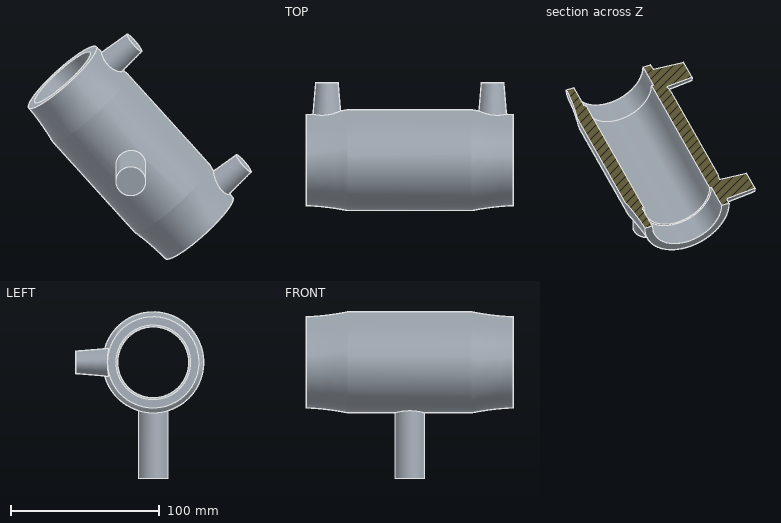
import cadquery as cq
import math

sleeve_length = 139.0
sleeve_diameter = 68.0
end_diameter = 61.3
end_length = 27.8
neck_sagitta = 0.5

bore_diameter = 47.5
socket_diameter = 50.0
socket_depth = 18.1

stem_diameter = 20.0
overall_height = 112.0

overall_width = 86.0
terminal_offset = 55.6
terminal_root_diameter = 18.9
terminal_tip_diameter = 15.3

sleeve_radius = sleeve_diameter / 2
end_radius = end_diameter / 2
half_length = sleeve_length / 2
shoulder_x = half_length - end_length
stem_bottom_z = sleeve_radius - overall_height
terminal_tip_y = overall_width - sleeve_radius
terminal_root_y = end_radius


def neck_midpoint():
    """Middle of the concave neck arc, set inward from the middle of its chord."""
    chord_x = half_length - end_length / 2
    chord_radius = (sleeve_radius + end_radius) / 2
    slope_angle = math.atan2(sleeve_radius - end_radius, end_length)
    x = chord_x - neck_sagitta * math.sin(slope_angle)
    radius = chord_radius - neck_sagitta * math.cos(slope_angle)
    return x, radius


def make_sleeve():
    """Solid of revolution: a cylinder with a concave neck at each end."""
    mid_x, mid_radius = neck_midpoint()
    return (
        cq.Workplane("XY")
        .moveTo(-half_length, 0)
        .lineTo(-half_length, end_radius)
        .threePointArc((-mid_x, mid_radius), (-shoulder_x, sleeve_radius))
        .lineTo(shoulder_x, sleeve_radius)
        .threePointArc((mid_x, mid_radius), (half_length, end_radius))
        .lineTo(half_length, 0)
        .close()
        .revolve(360, (0, 0, 0), (1, 0, 0))
    )


def make_bore():
    """Through bore with the two end sockets."""
    bore = cq.Workplane("YZ").circle(bore_diameter / 2).extrude(half_length, both=True)
    for socket_start in (-half_length, half_length - socket_depth):
        socket = (
            cq.Workplane("YZ")
            .workplane(offset=socket_start)
            .circle(socket_diameter / 2)
            .extrude(socket_depth)
        )
        bore = bore.union(socket)
    return bore


def make_stem():
    """Cylinder from the sleeve axis down to its free end."""
    return cq.Workplane("XY").circle(stem_diameter / 2).extrude(stem_bottom_z)


def make_terminal(x):
    """Tapered post on a straight root that starts inside the sleeve wall."""
    root_radius = terminal_root_diameter / 2
    tip_radius = terminal_tip_diameter / 2
    return (
        cq.Workplane("XY")
        .moveTo(x, 0)
        .lineTo(x + root_radius, 0)
        .lineTo(x + root_radius, terminal_root_y)
        .lineTo(x + tip_radius, terminal_tip_y)
        .lineTo(x, terminal_tip_y)
        .close()
        .revolve(360, (x, 0, 0), (x, 1, 0))
    )


body = make_sleeve().union(make_stem())
for terminal_x in (-terminal_offset, terminal_offset):
    body = body.union(make_terminal(terminal_x))

result = body.cut(make_bore())